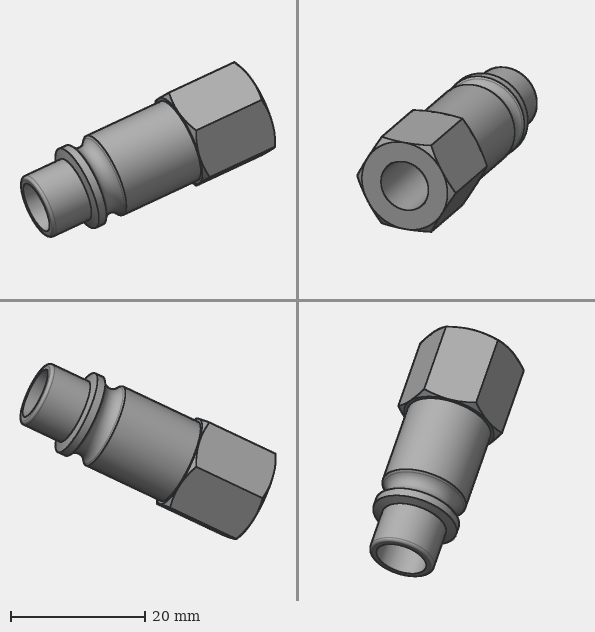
import cadquery as cq
import math

length = 37.0
hex_length = 12.5
hex_start = length - hex_length
shoulder_start = 6.6
collar_start = 7.0
collar_end = 8.3
groove_center = 10.0
groove_half_width = 1.48
body_start = 11.73

body_radius = 6.5
tip_radius = 5.0
bore_radius = 3.9
groove_root_radius = 5.4
groove_edge_radius = 6.2
tip_fillet = 0.48

across_flats = 14.0
across_corners = across_flats / math.cos(math.pi / 6)
hex_chamfer_angle = 30.0


def revolve_profile(profile):
    """Revolve a closed (radius, Y) profile about the Y axis."""
    return profile.close().revolve(360, (0, 0, 0), (0, 1, 0))


def make_plug():
    """Tip, tapered collar, round groove and cylindrical body."""
    profile = (
        cq.Workplane("XY")
        .lineTo(tip_radius, 0)
        .lineTo(tip_radius, shoulder_start)
        .lineTo(body_radius, collar_start)
        .lineTo(body_radius, collar_end)
        .lineTo(groove_edge_radius, groove_center - groove_half_width)
        .threePointArc(
            (groove_root_radius, groove_center),
            (groove_edge_radius, groove_center + groove_half_width),
        )
        .lineTo(body_radius, body_start)
        .lineTo(body_radius, hex_start)
        .lineTo(0, hex_start)
    )
    return revolve_profile(profile).faces("<Y").edges().fillet(tip_fillet)


def make_hex():
    """Hexagon with flats on +/-Z and conically chamfered corners at both ends."""
    prism = (
        cq.Workplane("XZ", origin=(0, length, 0))
        .polygon(6, across_corners)
        .extrude(hex_length)
    )
    flat_radius = across_flats / 2
    corner_radius = across_corners / 2
    chamfer_length = (corner_radius - flat_radius) * math.tan(math.radians(hex_chamfer_angle))
    chamfer_envelope = revolve_profile(
        cq.Workplane("XY")
        .moveTo(0, hex_start)
        .lineTo(flat_radius, hex_start)
        .lineTo(corner_radius, hex_start + chamfer_length)
        .lineTo(corner_radius, length - chamfer_length)
        .lineTo(flat_radius, length)
        .lineTo(0, length)
    )
    return prism.intersect(chamfer_envelope)


def make_bore():
    """Straight passage through the full length."""
    return cq.Workplane("XZ", origin=(0, length, 0)).circle(bore_radius).extrude(length)


result = make_plug().union(make_hex()).cut(make_bore())